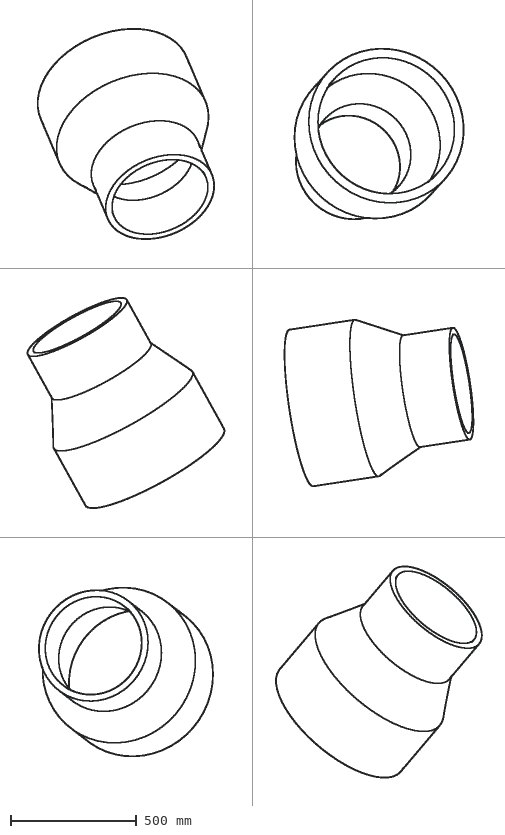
import cadquery as cq

total_length = 650.0
large_length = 266.0
small_length = 202.0
large_outer_diameter = 630.0
large_inner_diameter = 555.0
small_outer_diameter = 450.0
small_inner_diameter = 396.5

cone_start = large_length
cone_end = total_length - small_length


def stepped_body(large_diameter, small_diameter):
    """Solid of revolution: large cylinder, cone, small cylinder."""
    large_radius = large_diameter / 2
    small_radius = small_diameter / 2
    return (
        cq.Workplane("XY")
        .moveTo(0, 0)
        .lineTo(0, large_radius)
        .lineTo(cone_start, large_radius)
        .lineTo(cone_end, small_radius)
        .lineTo(total_length, small_radius)
        .lineTo(total_length, 0)
        .close()
        .revolve(360, (0, 0, 0), (1, 0, 0))
    )


outer_body = stepped_body(large_outer_diameter, small_outer_diameter)
bore = stepped_body(large_inner_diameter, small_inner_diameter)

result = outer_body.cut(bore)